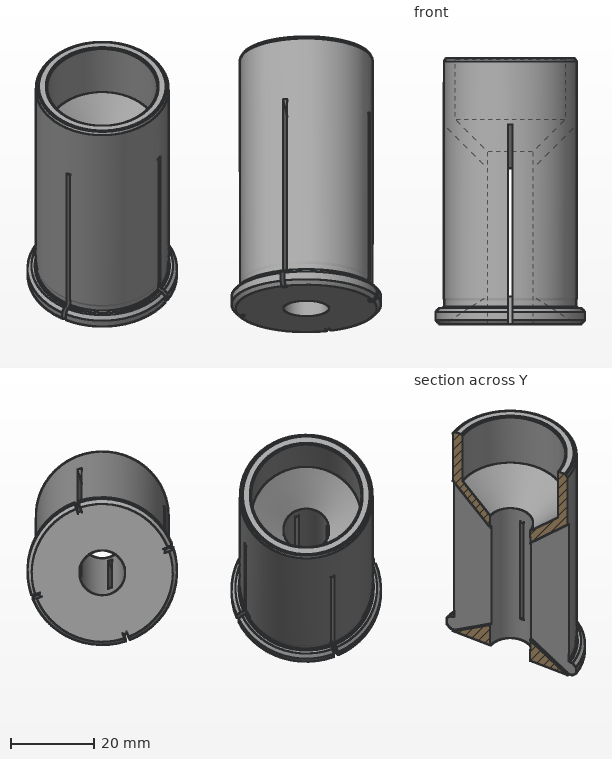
import cadquery as cq

height = 64.0
body_radius = 16.0
top_chamfer_width = 0.45
top_chamfer_height = 0.8
rim_bevel_width = 0.3
rim_bevel_height = 0.1

flange_radius = 18.0
flange_top = 4.0
flange_upper_chamfer = 0.95
flange_lower_chamfer = 1.0

groove_radius = 15.9
groove_bottom = 4.35
groove_taper_bottom = 5.6
groove_taper_top = 6.3
root_radius = 16.25

upper_bore_radius = 26.5 / 2
upper_bore_floor = 49.3
bore_chamfer = 0.3
through_radius = 11.0 / 2
cone_height = upper_bore_radius - through_radius

slot_count = 4
slot_width = 1.0
slot_top_outer = 48.0
slot_top_inner = slot_top_outer - (body_radius - through_radius)
slot_bottom_inner = 6.7
slot_overrun = 0.65


def revolve_profile(profile):
    """Turn a closed radius-height outline about the Z axis."""
    return profile.close().revolve(360, (0, 0, 0), (0, 1, 0))


def make_sleeve():
    """Solid outer form with its flange, relief groove and twice-bevelled top."""
    return revolve_profile(
        cq.Workplane("XZ")
        .lineTo(flange_radius - flange_lower_chamfer, 0)
        .lineTo(flange_radius, flange_lower_chamfer)
        .lineTo(flange_radius, flange_top - flange_upper_chamfer)
        .lineTo(flange_radius - flange_upper_chamfer, flange_top)
        .lineTo(root_radius, flange_top)
        .lineTo(groove_radius, groove_bottom)
        .lineTo(groove_radius, groove_taper_bottom)
        .lineTo(body_radius, groove_taper_top)
        .lineTo(body_radius, height - top_chamfer_height)
        .lineTo(body_radius - top_chamfer_width, height - rim_bevel_height)
        .lineTo(body_radius - top_chamfer_width - rim_bevel_width, height)
        .lineTo(0, height)
    )


def make_bore():
    """Wide upper bore that narrows through a cone to the through hole."""
    return revolve_profile(
        cq.Workplane("XZ")
        .lineTo(through_radius, 0)
        .lineTo(through_radius, upper_bore_floor - cone_height)
        .lineTo(upper_bore_radius, upper_bore_floor)
        .lineTo(upper_bore_radius, height - bore_chamfer)
        .lineTo(upper_bore_radius + bore_chamfer, height)
        .lineTo(0, height)
    )


def make_slot():
    """Slot toward +X, cutting the full flange and sloping inward at both ends."""
    outer_reach = flange_radius + slot_overrun
    return (
        cq.Workplane("XZ")
        .moveTo(0, slot_bottom_inner)
        .lineTo(through_radius, slot_bottom_inner)
        .lineTo(body_radius, 0)
        .lineTo(outer_reach, 0)
        .lineTo(outer_reach, slot_top_outer)
        .lineTo(body_radius, slot_top_outer)
        .lineTo(through_radius, slot_top_inner)
        .lineTo(0, slot_top_inner)
        .close()
        .extrude(slot_width / 2, both=True)
    )


result = make_sleeve().cut(make_bore())
for index in range(slot_count):
    slot_angle = index * 360 / slot_count
    result = result.cut(make_slot().rotate((0, 0, 0), (0, 0, 1), slot_angle))